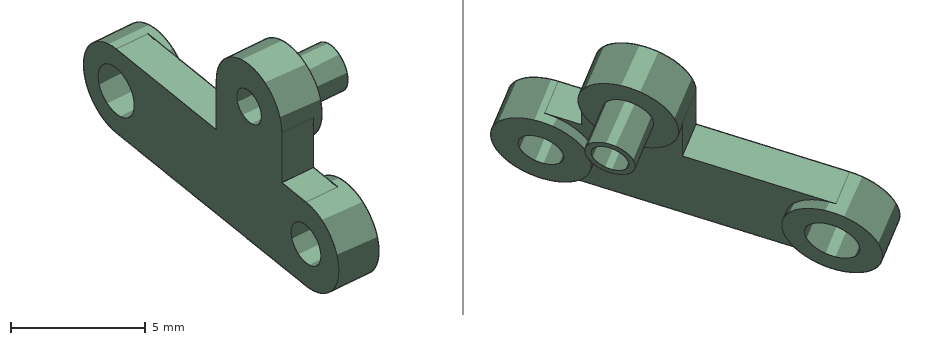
import cadquery as cq

overall_length = 15.57
overall_height = 8.38
overall_depth = 3.9
end_diameter = 4.0
plate_thickness = 1.5
boss_height = 1.9
pin_diameter = 2.01
arm_offset = 8.1
large_hole = 2.2
medium_hole = 1.8
pin_hole = 1.5

bar_span = overall_length - end_diameter
arm_rise = overall_height - end_diameter
large_centre = (0, 0)
medium_centre = (bar_span, 0)
arm_centre = (arm_offset, arm_rise)


def cylinder(centre, diameter, depth):
    """Cylinder from the flat face (Y = 0) towards +Y; centre is (x, z)."""
    x, z = centre
    return cq.Workplane("XZ", origin=(x, 0, z)).circle(diameter / 2).extrude(-depth)


def block(width, height, x, z):
    """Plate-thick block centred on x and z."""
    return (
        cq.Workplane("XZ", origin=(x, 0, z))
        .rect(width, height)
        .extrude(-plate_thickness)
    )


bar = block(bar_span, end_diameter, bar_span / 2, 0)
arm = block(end_diameter, arm_rise, arm_offset, arm_rise / 2)
body = bar.union(arm)

for centre in (large_centre, medium_centre, arm_centre):
    body = body.union(cylinder(centre, end_diameter, boss_height))

body = body.union(cylinder(arm_centre, pin_diameter, overall_depth))

for centre, diameter in (
    (large_centre, large_hole),
    (medium_centre, medium_hole),
    (arm_centre, pin_hole),
):
    body = body.cut(cylinder(centre, diameter, overall_depth))

result = body